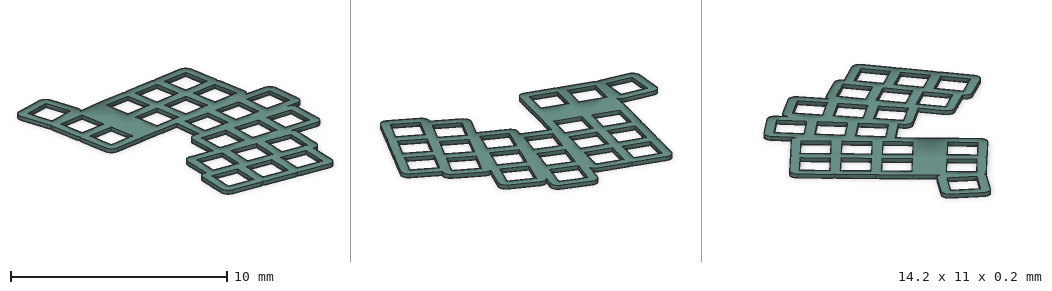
import cadquery as cq

PLATE_THICKNESS = 0.2
KEY_PITCH = 1.9
SWITCH_OPENING = 1.4
RIM_WIDTH = 0.45
CORNER_RADIUS = 0.38
ROW_COUNT = 3

MIDDLE_COLUMN = (0.0, 0.0, 0.0)
INDEX_COLUMN = (-2.175, -1.381, 4.0)
RING_COLUMN = (2.227, -0.714, -4.0)
PINKY_COLUMN = (4.247, -2.597, -8.0)
OUTER_COLUMN = (6.074, -3.257, -8.0)

THUMB_DROP = 3.0
OUTER_THUMB_KEY = (-5.603, -8.577, 12.2)

BRIDGE_LEFT_TAPER = 0.066
BRIDGE_RIGHT_INSET = 0.015

BLOCK_WIDTH = SWITCH_OPENING + 2 * RIM_WIDTH
FINGER_LENGTH = (ROW_COUNT - 1) * KEY_PITCH
THUMB_LENGTH = FINGER_LENGTH + THUMB_DROP


def column_frame(column):
    """Workplane centred on a column's top switch, with Y along the column."""
    x, y, tilt = column
    return cq.Workplane("XY").transformed(offset=(x, y, 0), rotate=(0, 0, tilt))


def row_positions(x):
    """Local switch centres of the finger rows, going down one column."""
    return [(x, -row * KEY_PITCH) for row in range(ROW_COUNT)]


def key_blocks(column, centres):
    """Rounded squares around the given local switch centres."""
    blocks = cq.Workplane("XY")
    for x, y in centres:
        block = (
            column_frame(column)
            .center(x, y)
            .rect(BLOCK_WIDTH, BLOCK_WIDTH)
            .extrude(PLATE_THICKNESS)
            .edges("|Z")
            .fillet(CORNER_RADIUS)
        )
        blocks = blocks.union(block)
    return blocks


def thumb_bridge():
    """Web joining the last index rows to the thumb keys, narrowing toward the thumb."""
    straight_half = BLOCK_WIDTH / 2 - CORNER_RADIUS
    top = -FINGER_LENGTH - straight_half
    bottom = -THUMB_LENGTH + straight_half
    left = -KEY_PITCH - BLOCK_WIDTH / 2
    right = BLOCK_WIDTH / 2 - BRIDGE_RIGHT_INSET
    corners = [(left, top), (right, top), (right, bottom), (left + BRIDGE_LEFT_TAPER, bottom)]
    return column_frame(INDEX_COLUMN).polyline(corners).close().extrude(PLATE_THICKNESS)


def openings(column, centres):
    """Square cutters through the plate at the given local switch centres."""
    return (
        column_frame(column)
        .pushPoints(centres)
        .rect(SWITCH_OPENING, SWITCH_OPENING)
        .extrude(PLATE_THICKNESS)
    )


switch_groups = [(OUTER_THUMB_KEY, [(0, 0)])]
for x in (0, -KEY_PITCH):
    switch_groups.append((INDEX_COLUMN, row_positions(x) + [(x, -THUMB_LENGTH)]))
for column in (MIDDLE_COLUMN, RING_COLUMN, PINKY_COLUMN, OUTER_COLUMN):
    switch_groups.append((column, row_positions(0)))

plate = thumb_bridge()
for column, centres in switch_groups:
    plate = plate.union(key_blocks(column, centres))

for column, centres in switch_groups:
    plate = plate.cut(openings(column, centres))

result = plate